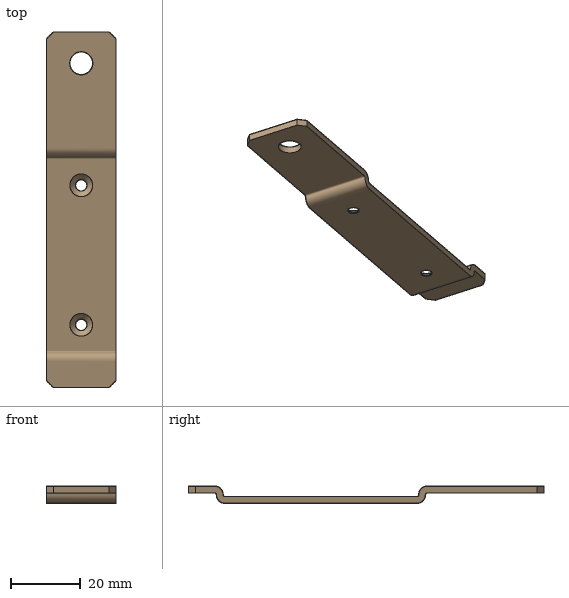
import cadquery as cq

width = 20.0
length = 102.0
thickness = 2.0
corner_chamfer = 2.0

inner_radius = 0.5
outer_radius = inner_radius + thickness
step = inner_radius + outer_radius
height = step + thickness

long_tab_length = 33.5
seat_length = 55.0

tab_hole_diameter = 6.5
tab_hole_from_end = 9.0
screw_diameter = 3.2
countersink_diameter = 6.5
countersink_angle = 90.0
screw_spacing = 40.0

back_end = length / 2
front_end = -length / 2
back_step_top = back_end - long_tab_length
seat_back = back_step_top - step
seat_front = seat_back - seat_length
front_step_top = seat_front - step
seat_center = (seat_back + seat_front) / 2


def flat(y_start, y_end, z_bottom):
    """Flat stretch of the strip between two Y positions."""
    return cq.Workplane("XY").box(
        width, y_end - y_start, thickness, centered=(True, False, False)
    ).translate((0, y_start, z_bottom))


def quarter_bend(y_center, y_side, z_side):
    """Quarter ring across the strip, about an axis at mid height.

    y_side and z_side are +1 or -1 and pick the quadrant that is kept.
    """
    ring = (
        cq.Workplane("YZ", origin=(-width / 2, y_center, height / 2))
        .circle(outer_radius)
        .circle(inner_radius)
        .extrude(width)
    )
    quadrant = cq.Workplane("XY").box(width, outer_radius, outer_radius).translate(
        (0, y_center + y_side * outer_radius / 2, height / 2 + z_side * outer_radius / 2)
    )
    return ring.intersect(quadrant)


def bent_strip():
    tab_bottom = height - thickness
    strip = flat(seat_front, seat_back, 0)
    strip = strip.union(flat(back_step_top, back_end, tab_bottom))
    strip = strip.union(flat(front_end, front_step_top, tab_bottom))
    for step_top, seat_edge, toward_seat in (
        (back_step_top, seat_back, -1),
        (front_step_top, seat_front, 1),
    ):
        strip = strip.union(quarter_bend(step_top, toward_seat, 1))
        strip = strip.union(quarter_bend(seat_edge, -toward_seat, -1))
    return strip


def chamfer_end_corners(strip):
    back = strip.faces(">Y").edges("|Z").chamfer(corner_chamfer)
    return back.faces("<Y").edges("|Z").chamfer(corner_chamfer)


def drill_tab_hole(strip):
    drill = (
        cq.Workplane("XY")
        .center(0, back_end - tab_hole_from_end)
        .circle(tab_hole_diameter / 2)
        .extrude(height)
    )
    return strip.cut(drill)


def drill_screw_holes(strip):
    return (
        strip.copyWorkplane(cq.Workplane("XY", origin=(0, seat_center, thickness)))
        .pushPoints([(0, screw_spacing / 2), (0, -screw_spacing / 2)])
        .cskHole(screw_diameter, countersink_diameter, countersink_angle)
    )


result = bent_strip()
result = chamfer_end_corners(result)
result = drill_tab_hole(result)
result = drill_screw_holes(result)